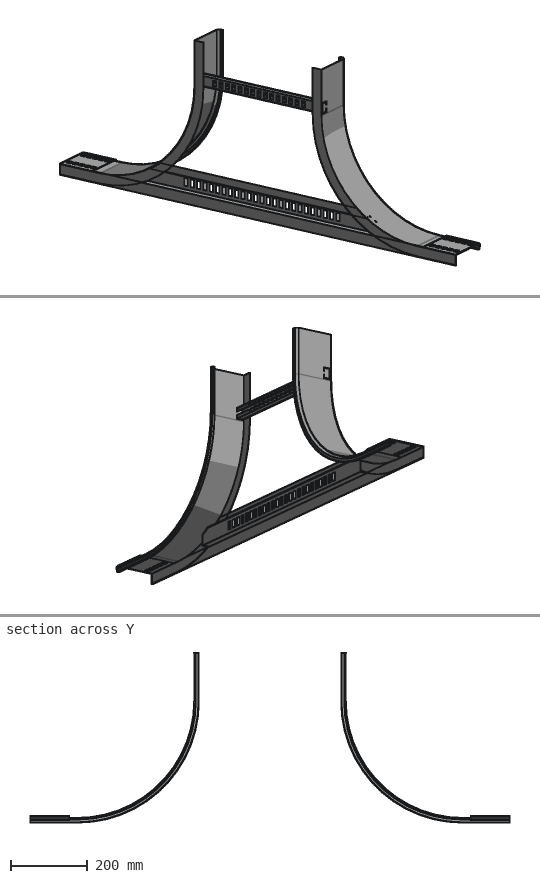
import cadquery as cq
import math

length = 1250.0
height = 456.0
depth = 115.0
sheet = 1.5
centre_x = length / 2

base_height = 31.0
plate_length = 102.0
edge_bevel = 6.0
edge_bottom = 20.0
upright_y = 20.0
upright_step_z = 72.0
upright_lip_y = 4.0
upright_top = 95.0
upright_clearance = 1.0
upright_slot_z = 51.0
upright_slot_height = 21.0
upright_slot_count = 25

hole_count = 5
hole_pitch = 19.0
first_hole_x = 15.0
hole_width = 11.0
hole_rows = [(25.0, 11.0), (91.0, 15.0)]

foot_length = 124.0
bend_radius = 300.0
rail_flange = 29.0
rail_back = 112.0
rail_bevel = 8.0
rail_lip = 16.0
web_x = foot_length + bend_radius
foot_z = base_height - sheet
bend_centre_z = foot_z + bend_radius

rung_top = 362.0
rung_height = 30.0
rung_front = 6.0
rung_depth = 19.0
rung_lip = 10.0
rung_slot_height = 15.0
rung_slot_count = 15

slot_pitch = 20.0
slot_width = 10.0


def box(x0, x1, y0, y1, z0, z1):
    """Box between two opposite corners."""
    return cq.Workplane("XY").box(x1 - x0, y1 - y0, z1 - z0, centered=False).translate((x0, y0, z0))


def mirror_across_centre(body):
    """Copy of a body mirrored in the middle plane of the part."""
    return body.mirror("YZ", (centre_x, 0, 0))


def bent_sheet(line):
    """Closed profile in the YZ plane at X = 0: the line thickened to its right by the sheet."""
    angles = [math.atan2(b[1] - a[1], b[0] - a[0]) for a, b in zip(line, line[1:])]
    starts = [angles[0]] + angles
    ends = angles + [angles[-1]]
    inner = []
    for (y, z), before, after in zip(line, starts, ends):
        mean = (before + after) / 2
        reach = sheet / math.cos((after - before) / 2)
        inner.append((y + reach * math.sin(mean), z - reach * math.cos(mean)))
    return cq.Workplane("YZ").polyline(line + inner[::-1]).close()


def slot_row(count, z_middle, slot_height):
    """Cutters for a centred row of slots that run through along Y."""
    return (
        cq.Workplane("XZ", origin=(centre_x, 0, z_middle))
        .rarray(slot_pitch, 12, count, 1)
        .rect(slot_width, slot_height)
        .extrude(-depth)
    )


def end_holes():
    """Cutters for both rows of holes at the left end of the base rail."""
    cutters = cq.Workplane("XY")
    for row_y, size_y in hole_rows:
        for i in range(hole_count):
            hole = cq.Workplane("XY").center(first_hole_x + i * hole_pitch, row_y)
            cutters = cutters.add(hole.rect(hole_width, size_y).extrude(base_height))
    return cutters.combine()


def make_rung():
    """Lipped channel, open to the back, with slots through its web."""
    back = rung_front + rung_depth
    bottom = rung_top - rung_height
    line = [
        (back, bottom + rung_lip),
        (back, bottom),
        (rung_front, bottom),
        (rung_front, rung_top),
        (back, rung_top),
        (back, rung_top - rung_lip),
    ]
    channel = bent_sheet(line).extrude(length - 2 * web_x).translate((web_x, 0, 0))
    return channel.cut(slot_row(rung_slot_count, rung_top - rung_height / 2, rung_slot_height))


def make_left_rail(rung):
    """Rail running from the left end of the base, through a quarter bend, straight up."""
    line = [
        (sheet, foot_z - rail_flange),
        (sheet, foot_z),
        (rail_back - rail_bevel, foot_z),
        (rail_back, foot_z - rail_bevel),
        (rail_back, foot_z - rail_lip),
        (rail_back - rail_bevel, foot_z - rail_lip),
    ]
    path = (
        cq.Workplane("XZ")
        .moveTo(0, foot_z)
        .lineTo(foot_length, foot_z)
        .radiusArc((web_x, bend_centre_z), -bend_radius)
        .lineTo(web_x, height)
    )
    return bent_sheet(line).sweep(path).cut(end_holes()).cut(rung)


def make_end_plate():
    """Perforated plate at the left end, with a bevelled and turned-down back edge."""
    line = [
        (0, base_height),
        (depth - edge_bevel, base_height),
        (depth, base_height - edge_bevel),
        (depth, edge_bottom),
    ]
    return bent_sheet(line).extrude(plate_length).cut(end_holes())


def make_upright():
    """Ledge, slotted upright and the strip stepped forward above it, between the two curved rails."""
    flange_radius = bend_radius + rail_flange
    start = foot_length + math.sqrt(flange_radius**2 - (bend_centre_z - base_height) ** 2)
    line = [
        (0, base_height),
        (upright_y, base_height),
        (upright_y, upright_step_z),
        (upright_lip_y, upright_step_z),
        (upright_lip_y, upright_top),
    ]
    strip = bent_sheet(line).extrude(length - 2 * start).translate((start, 0, 0))
    bend_space = (
        cq.Workplane("XZ", origin=(foot_length, 0, bend_centre_z))
        .circle(bend_radius + sheet + upright_clearance)
        .extrude(-depth)
    )
    strip = strip.cut(bend_space).cut(mirror_across_centre(bend_space))
    return strip.cut(slot_row(upright_slot_count, upright_slot_z, upright_slot_height))


def make_base_rail():
    """Front flange joining both end plates and the upright."""
    front_flange = box(0, length, 0, sheet, 0, base_height)
    plate = make_end_plate()
    return front_flange.union(plate).union(mirror_across_centre(plate)).union(make_upright())


rung = make_rung()
left_rail = make_left_rail(rung)
right_rail = mirror_across_centre(left_rail)
base_rail = make_base_rail()

bodies = [base_rail, left_rail, right_rail, rung]
result = cq.Compound.makeCompound([body.solids().val() for body in bodies])